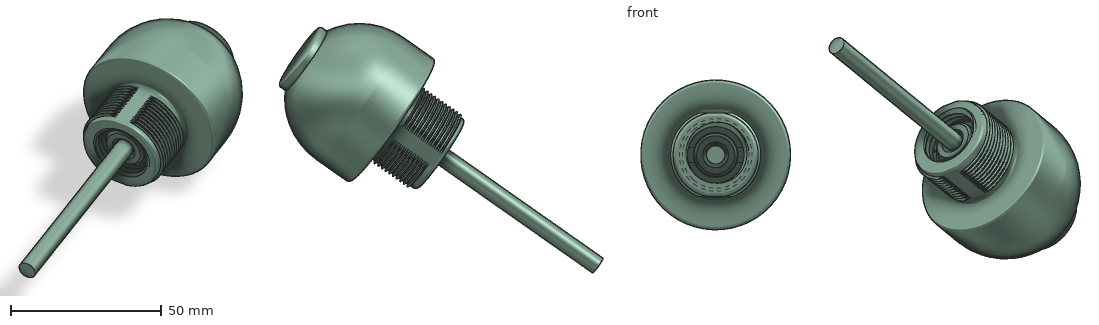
import cadquery as cq
import math


total_length = 122.2
housing_diameter = 50.0
housing_radius = housing_diameter / 2

head_height = 38.0
rim_height = 13.3
cap_radius = 12.1
head_fillet = 1.0
dome_middle_angle = 30.0

stem_length = 19.8
stem_core_radius = 14.2
stem_fillet = 1.1
flat_offset = 13.9
outer_thread_radius = 15.0
outer_thread_length = 15.8
outer_thread_turns = 10.5
outer_thread_start = 2.2
outer_thread_start_angle = 90.0
outer_ridge_half_width = 0.55
outer_ridge_embed = 0.2

socket_radius = 9.4
socket_depth = 6.6
inner_thread_radius = 11.1
inner_thread_pitch = 2.1
inner_thread_turns = 3.4
inner_thread_exit_angle = 65.0
inner_groove_half_width = 1.0
inner_groove_overhang = 0.1

boss_base_radius = 7.5
boss_shoulder_radius = 7.2
boss_height = 3.9
boss_chamfer = 0.9
pocket_width = 5.0
pocket_depth = 1.2

cable_radius = 3.0
cable_countersink = 1.2

edge_search_margin = 0.1

stem_end = -stem_length
socket_floor = stem_end + socket_depth
boss_face = socket_floor - boss_height
cable_tail = head_height - total_length


def cylinder(radius, y_start, y_end):
    """Solid cylinder on the Y axis between two places."""
    return cq.Workplane("XZ", origin=(0, y_start, 0)).circle(radius).extrude(y_start - y_end)


def helical_ridge(base_radius, crest_radius, half_width, pitch, turns, start_y, start_angle):
    """Right-handed triangular thread form that advances toward -Y from start_y."""
    path = cq.Wire.makeHelix(pitch, pitch * turns, base_radius)
    profile = (
        cq.Workplane("XZ")
        .moveTo(base_radius, -half_width)
        .lineTo(crest_radius, 0)
        .lineTo(base_radius, half_width)
        .close()
    )
    ridge = profile.sweep(cq.Workplane(path), isFrenet=True)
    ridge = ridge.rotate((0, 0, 0), (0, 0, 1), start_angle)
    return ridge.rotate((0, 0, 0), (1, 0, 0), 90).translate((0, start_y, 0))


def make_head():
    """Dome of revolution with a cylindrical rim and a short cylindrical cap."""
    dome_end = rim_height + math.sqrt(housing_radius**2 - cap_radius**2)
    middle_angle = math.radians(dome_middle_angle)
    dome_middle = (
        housing_radius * math.cos(middle_angle),
        rim_height + housing_radius * math.sin(middle_angle),
    )
    head = (
        cq.Workplane("XY")
        .lineTo(housing_radius, 0)
        .lineTo(housing_radius, rim_height)
        .threePointArc(dome_middle, (cap_radius, dome_end))
        .lineTo(cap_radius, head_height)
        .lineTo(0, head_height)
        .close()
        .revolve(360, (0, 0, 0), (0, 1, 0))
    )
    return head.faces("<Y or >Y").edges().fillet(head_fillet)


def flat_limits():
    """Block around the stem whose top and bottom faces are the two flats."""
    width = 3 * outer_thread_radius
    length = 3 * stem_length
    return cq.Workplane("XY").box(width, length, 2 * flat_offset)


def make_stem_core():
    """Stem with two flats and a rounded free end."""
    core = cylinder(stem_core_radius, 0, stem_end).intersect(flat_limits())
    return core.faces("<Y").edges().fillet(stem_fillet)


def make_outer_thread():
    """Outer thread ridge, cut away at the two flats."""
    ridge = helical_ridge(
        stem_core_radius - outer_ridge_embed,
        outer_thread_radius,
        outer_ridge_half_width,
        outer_thread_length / outer_thread_turns,
        outer_thread_turns,
        -outer_thread_start,
        outer_thread_start_angle,
    )
    return ridge.intersect(flat_limits())


def make_inner_thread():
    """Helical groove of the socket, running out through the stem's end."""
    start_y = socket_floor - inner_groove_half_width
    turns_to_exit = (start_y - stem_end) / inner_thread_pitch
    return helical_ridge(
        socket_radius - inner_groove_overhang,
        inner_thread_radius,
        inner_groove_half_width,
        inner_thread_pitch,
        inner_thread_turns,
        start_y,
        inner_thread_exit_angle - 360 * turns_to_exit,
    )


def make_boss():
    """Tapered gland boss on the socket floor, chamfered and countersunk, with the cable hole."""
    shoulder_y = boss_face + boss_chamfer
    return (
        cq.Workplane("XY")
        .moveTo(cable_radius, socket_floor)
        .lineTo(boss_base_radius, socket_floor)
        .lineTo(boss_shoulder_radius, shoulder_y)
        .lineTo(boss_shoulder_radius - boss_chamfer, boss_face)
        .lineTo(cable_radius + cable_countersink, boss_face)
        .lineTo(cable_radius, boss_face + cable_countersink)
        .close()
        .revolve(360, (0, 0, 0), (0, 1, 0))
    )


def make_pockets():
    """Two key pockets in the socket floor, between the boss and the socket wall."""
    pockets = (
        cq.Workplane("XZ", origin=(0, socket_floor, 0))
        .rect(2 * socket_radius, pocket_width)
        .extrude(-pocket_depth)
    )
    pockets = pockets.intersect(cylinder(socket_radius, socket_floor + pocket_depth, socket_floor))
    return pockets.cut(cylinder(boss_base_radius, socket_floor + pocket_depth, socket_floor))


def make_housing():
    """Head, threaded stem, socket and gland boss as one solid."""
    housing = make_head().union(make_stem_core())
    stem_reach = stem_core_radius + edge_search_margin
    stem_root = cq.selectors.BoxSelector(
        (-stem_reach, -edge_search_margin, -stem_reach),
        (stem_reach, edge_search_margin, stem_reach),
        boundingbox=True,
    )
    housing = housing.edges(stem_root).fillet(stem_fillet)
    housing = housing.cut(cylinder(socket_radius, socket_floor, stem_end))
    housing = housing.cut(make_pockets())
    housing = housing.union(make_boss())
    housing = housing.cut(make_inner_thread())
    return housing.union(make_outer_thread())


housing = make_housing()
cable = cylinder(cable_radius, socket_floor, cable_tail)
result = cq.Compound.makeCompound([housing.val(), cable.val()])